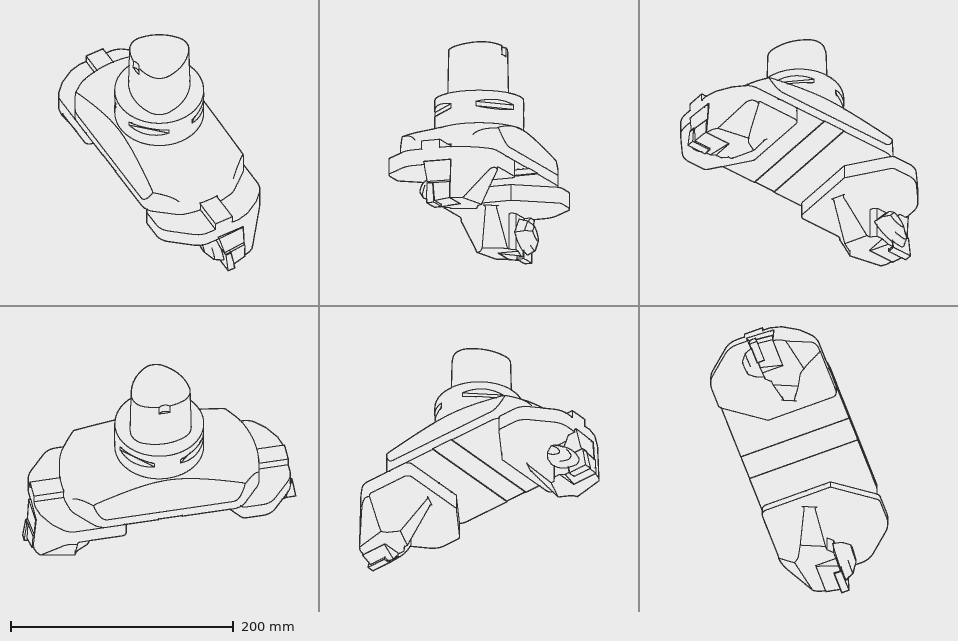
import cadquery as cq
import math


half_depth = 52.0
beyond = 150

far_corner = (beyond, beyond, 0)
far_below = (0, beyond, -beyond)
far_inside = (-beyond, 0, -beyond)

flange_radius = 40
flange_bottom = 40
flange_top = 70
shank_top = 117.8
dome_radius = 89.8
dome_edge_radius = 14.0
dome_slope = 18
corner_start = 65
corner_slope = 1.2
corner_radius = 16.0
side_wall_height = 9.8
side_top_half_depth = 41.5

lobe_radius = 28.5
flank_radius = 24.2
blend_radius = 26.8
blend_angle = 21
shank_flare = 1.0
key_radius = 7.0
key_floor = -22.0
key_depth = 8.2

groove_z = 57.8
groove_floor_distance = 35.5
groove_floor_height = 4.0
groove_mouth_height = 8.8

tongue_width = 17.5
tongue_height = 7.5
guide_slot_height = 9.2
relief_width = 22.0
relief_depth = 0.8

plate_thickness = 14.5
plate_inner = 39.5
plate_end = 116.5
inner_corner_radius = 5

block_bottom = -48.0
recess_y = 5.0
recess_end = 83.2
web_wall_x = 85
web_start_y = -13.5
web_corner_y = 33.8
web_radius = 10.8
under_plate_radius = 2.0

nose_top = -12.0
nose_front = -7.5
nose_back = 19.8
nose_inner = 90
ledge_top = -31.5
insert_top = -33.2
insert_bottom = -52.2
insert_back_top = 4.2
insert_back_bottom = 6.5
insert_inner_bottom = 105.8
insert_inner_top = 103.0
insert_outer_bottom = 125
insert_outer_top = 122.2
nose_bottom = -51.0
nose_back_bottom = -48.2
nose_levels = [
    (nose_top, 118.5, 117.2),
    (ledge_top, 121.0, 118.5),
    (insert_top, 122.2, 119.5),
    (nose_bottom, 124.2, 120.5),
]
seat_y_top = -6.0
seat_y_middle = -1.2
seat_y_bottom = -0.5
seat_step_y = 0.2
clamp_shoulder = 8.5
clamp_height = 14.5
clamp_base = (0, 9.0, 34.0)
clamp_mid = (1.2, 6.8, 28.8)
clamp_top = (5, 3.5, 15)
clamp_back = (90, -25.2)
clamp_angle = 37


def half_space(a, b, c, inside):
    """A large block bounded by the plane through points a, b and c, on the side of the point inside."""
    a, b, c = cq.Vector(*a), cq.Vector(*b), cq.Vector(*c)
    normal = (b - a).cross(c - a)
    if normal.dot(cq.Vector(*inside) - a) < 0:
        normal = normal * -1
    plane = cq.Plane(origin=a, normal=normal)
    return cq.Workplane(plane).rect(4 * beyond, 4 * beyond).extrude(2 * beyond)


def half_turn(body):
    return body.rotate((0, 0, 0), (0, 0, 1), 180)


def prism(points, bottom, top):
    return cq.Workplane("XY").workplane(offset=bottom).polyline(points).close().extrude(top - bottom)


def polar(radius, angle):
    return radius * math.cos(math.radians(angle)), radius * math.sin(math.radians(angle))


def lobed_outline(workplane, growth):
    """Three-lobed polygon with a lobe pointing along +Y."""
    outline = workplane.moveTo(*polar(blend_radius + growth, 90 - blend_angle))
    for lobe in (90, 210, 330):
        outline = outline.threePointArc(
            polar(lobe_radius + growth, lobe),
            polar(blend_radius + growth, lobe + blend_angle),
        ).threePointArc(
            polar(flank_radius + growth, lobe + 60),
            polar(blend_radius + growth, lobe + 120 - blend_angle),
        )
    return outline.close()


def make_shank():
    base = lobed_outline(cq.Workplane("XY").workplane(offset=flange_top), shank_flare)
    shank = lobed_outline(base.workplane(offset=shank_top - flange_top), 0).loft(ruled=True)
    notch = (
        cq.Workplane("XY").workplane(offset=shank_top - key_depth)
        .center(0, key_floor - key_radius).circle(key_radius).extrude(2 * key_depth)
    )
    return shank.cut(notch)


def make_flange():
    flange = (
        cq.Workplane("XY").workplane(offset=flange_bottom)
        .circle(flange_radius).extrude(flange_top - flange_bottom)
    )
    mouth = groove_mouth_height / 2
    floor = groove_floor_height / 2
    groove = (
        cq.Workplane("XZ")
        .polyline([
            (groove_floor_distance, groove_z - floor),
            (flange_radius, groove_z - mouth),
            (2 * flange_radius, groove_z - mouth),
            (2 * flange_radius, groove_z + mouth),
            (flange_radius, groove_z + mouth),
            (groove_floor_distance, groove_z + floor),
        ])
        .close().extrude(flange_radius, both=True)
    )
    for angle in (45, 135, 225, 315):
        flange = flange.cut(groove.rotate((0, 0, 0), (0, 0, 1), angle))
    return flange


def corner_flat_end():
    """X and Y of the point where the corner flat, a straight line in plan, meets the dome circle."""
    flat_x = corner_start + half_depth / corner_slope
    along = 1 + corner_slope**2
    middle = corner_slope**2 * flat_x
    x = (middle + math.sqrt(middle**2 - along * (middle * flat_x - dome_radius**2))) / along
    return x, corner_slope * (flat_x - x)


def make_dome():
    slope = math.radians(dome_slope)
    arc_start_x = dome_radius - dome_edge_radius * (1 - math.sin(slope))
    arc_start_z = flange_bottom - (arc_start_x - flange_radius) * math.tan(slope)
    arc_end_z = arc_start_z - dome_edge_radius * math.cos(slope)
    dome = (
        cq.Workplane("XZ").moveTo(0, 0).lineTo(dome_radius, 0).lineTo(dome_radius, arc_end_z)
        .tangentArcPoint((arc_start_x, arc_start_z), relative=False)
        .lineTo(flange_radius, flange_bottom).lineTo(0, flange_bottom).close()
        .revolve(360, (0, 0, 0), (0, 1, 0))
    )
    end_x, end_y = corner_flat_end()
    plan = (
        cq.Workplane("XY").moveTo(corner_start, -half_depth).lineTo(end_x, -end_y)
        .threePointArc((dome_radius, 0), (end_x, end_y))
        .lineTo(corner_start, half_depth).lineTo(-corner_start, half_depth).lineTo(-end_x, end_y)
        .threePointArc((-dome_radius, 0), (-end_x, -end_y))
        .lineTo(-corner_start, -half_depth).close()
        .extrude(flange_bottom)
        .edges("|Z").fillet(corner_radius)
    )
    cross_section = (
        cq.Workplane("YZ")
        .polyline([
            (-half_depth, 0), (half_depth, 0), (half_depth, side_wall_height),
            (side_top_half_depth, flange_bottom), (-side_top_half_depth, flange_bottom),
            (-half_depth, side_wall_height),
        ])
        .close().extrude(beyond, both=True)
    )
    return dome.intersect(plan).intersect(cross_section)


def make_housing():
    guide_slot = (
        cq.Workplane("XY").box(beyond, tongue_width, 2 * guide_slot_height, centered=(False, True, True))
        .translate((plate_inner, 0, 0))
    )
    relief = cq.Workplane("XY").box(relief_width, 2 * beyond, 2 * relief_depth)
    body = make_dome().union(make_flange()).union(make_shank())
    return body.cut(guide_slot).cut(half_turn(guide_slot)).cut(relief)


def make_slide_stock():
    """Slide plan carried down to the block bottom, with the flared corner at +X, +Y."""
    inner_flat_x = 66.5
    inner_flat_y = -15
    front_corner = 92.0
    back_corner = 93.2
    end_y = 23.5
    end_radius = 20
    flare_x = 122.5
    stock = (
        prism([
            (plate_inner, half_depth), (plate_inner, inner_flat_y), (inner_flat_x, -half_depth),
            (front_corner, -half_depth), (plate_end, -end_y), (plate_end, nose_back),
            (flare_x, nose_back), (flare_x, half_depth + back_corner - flare_x),
            (back_corner, half_depth),
        ], block_bottom, 0)
    )
    rounded_corners = [
        (front_corner, -half_depth, corner_radius),
        (back_corner, half_depth, corner_radius),
        (plate_end, -end_y, end_radius),
        (plate_inner, half_depth, inner_corner_radius),
        (inner_flat_x, -half_depth, inner_corner_radius),
    ]
    for x, y, radius in rounded_corners:
        corner = cq.selectors.NearestToPointSelector((x, y, block_bottom / 2))
        stock = stock.edges("|Z").edges(corner).fillet(radius)
    end_edge = (plate_end, 15.5, 0)
    corner_edge_top = (113.8, 26.0, 0)
    corner_edge_bottom = (117.8, 26.0, -47.5)
    end_flare = half_space(end_edge, corner_edge_top, corner_edge_bottom, far_corner)
    corner_flare = half_space(corner_edge_top, corner_edge_bottom, (105.5, 39.8, 0), far_corner)
    return stock.cut(end_flare).cut(corner_flare)


def make_block_cuts():
    """Everything removed below the plate to leave the web and the seat."""
    top = -plate_thickness
    bottom = -beyond
    recess = (
        prism([
            (0, -beyond), (0, recess_y), (recess_end, recess_y),
            (recess_end + beyond, recess_y - beyond), (recess_end + beyond, -beyond),
        ], bottom, top)
        .faces(">Z").edges(">Y").fillet(under_plate_radius)
    )
    web_side = (
        prism([(0, web_start_y), (web_wall_x, web_corner_y), (web_wall_x, beyond), (0, beyond)], bottom, top)
        .edges("|Z").edges(cq.selectors.NearestToPointSelector((web_wall_x, web_corner_y, -beyond / 2)))
        .fillet(web_radius)
        .faces(">Z").edges("not (<X or >Y)").fillet(under_plate_radius)
    )
    below_plate = cq.Workplane("XY").box(4 * beyond, 4 * beyond, beyond, centered=(True, True, False))
    below_plate = below_plate.translate((0, 0, top - beyond))
    inner_slope = half_space((48.5, 13.5, top), (71.0, 26.0, -48.2), (80.2, 5, -48.2), far_inside)
    back_slope = half_space((85, 36.8, -47.2), (86.0, 52.0, -17.2), (114.8, 30.5, -48.0), far_below)
    return [recess, web_side, inner_slope.intersect(below_plate), back_slope]


def make_seat_cut(top):
    """Space in front of the seat: a sloped face beside the insert and a lower step inboard of it."""
    step_top_x = 111.0
    step_bottom_x = 94.0
    profile = [
        (seat_y_top, nose_top), (seat_y_middle, insert_top), (seat_y_bottom, insert_bottom),
        (seat_y_bottom, -beyond), (-beyond, -beyond), (-beyond, nose_top),
    ]
    cut = cq.Workplane("YZ").workplane(offset=recess_end).polyline(profile).close().extrude(beyond)
    step = (
        cq.Workplane("XZ").workplane(offset=-seat_step_y)
        .polyline([
            (recess_end, nose_top), (step_top_x, nose_top), (step_bottom_x, insert_top),
            (insert_inner_top, insert_top), (insert_inner_bottom, insert_bottom), (recess_end, insert_bottom),
        ])
        .close().extrude(beyond)
    )
    above = cq.Workplane("XY").workplane(offset=top).rect(4 * beyond, 4 * beyond).extrude(beyond)
    return cut.union(step).cut(above)


def nose_outline(workplane, front_x, back_x):
    return workplane.polyline([
        (nose_inner, nose_front), (front_x, nose_front), (back_x, nose_back), (nose_inner, nose_back),
    ]).close()


def nose_segment(upper, lower):
    """Part of the nose between two levels; its end wall leans out downwards and towards the seat."""
    top, top_front_x, top_back_x = upper
    bottom, bottom_front_x, bottom_back_x = lower
    outline = nose_outline(cq.Workplane("XY").workplane(offset=top), top_front_x, top_back_x)
    outline = nose_outline(outline.workplane(offset=bottom - top), bottom_front_x, bottom_back_x)
    return outline.loft(ruled=True)


def make_nose():
    nose = nose_segment(nose_levels[0], nose_levels[1])
    for upper, lower in zip(nose_levels[1:], nose_levels[2:]):
        nose = nose.union(nose_segment(upper, lower))
    chamfer_start_x = 94.5
    chamfer_end_x = 100.5
    lowest = (0, 0, nose_bottom)
    bottom_relief = half_space(lowest, (2.5, 0, nose_bottom), (0, nose_back, nose_back_bottom), far_below)
    inner_chamfer = half_space(
        (chamfer_start_x, 0, nose_back_bottom), (chamfer_start_x, 2.5, nose_back_bottom),
        (chamfer_end_x, 0, nose_bottom), far_below,
    )
    return nose.cut(bottom_relief).cut(inner_chamfer)


def make_insert():
    outline = (
        cq.Workplane("XZ").workplane(offset=-insert_back_bottom)
        .polyline([
            (insert_inner_bottom, insert_bottom), (insert_outer_bottom, insert_bottom),
            (insert_outer_top, insert_top), (insert_inner_top, insert_top),
        ])
        .close().extrude(insert_back_bottom - seat_y_top)
    )
    back_relief = half_space(
        (0, insert_back_top, insert_top), (2.5, insert_back_top, insert_top),
        (0, insert_back_bottom, insert_bottom), (0, beyond, insert_top),
    )
    return outline.cut(back_relief).cut(make_seat_cut(nose_top))


def make_slide(insert):
    slide = make_slide_stock()
    for cut in make_block_cuts():
        slide = slide.cut(cut)
    slide = slide.cut(make_seat_cut(-plate_thickness))
    slide = slide.union(make_nose().cut(make_seat_cut(nose_top)))
    tongue = (
        cq.Workplane("XY")
        .box(plate_end - plate_inner, tongue_width, tongue_height, centered=(False, True, False))
        .translate((plate_inner, 0, 0))
    )
    return slide.union(tongue).cut(insert)


def clamp_outline(workplane, back, half_width, length):
    """Bullet outline with its axis along local X and a flat back end."""
    tip = back + length
    widest = (back + 0.4 * length, 1.1 * half_width)
    tip_start = (tip - 0.07 * length, 0.43 * half_width)
    return (
        workplane.moveTo(back, -half_width)
        .threePointArc((widest[0], -widest[1]), (tip_start[0], -tip_start[1]))
        .threePointArc((tip, 0), tip_start)
        .threePointArc(widest, (back, half_width))
        .close()
    )


def clamp_layer(plane, bottom_outline, bottom, top_outline, top):
    """Tapered layer of the clamp between two bullet outlines at heights bottom and top."""
    lower = clamp_outline(cq.Workplane(plane).workplane(offset=bottom), *bottom_outline)
    return clamp_outline(lower.workplane(offset=top - bottom), *top_outline).loft(ruled=True)


def make_clamp(slide, insert):
    angle = math.radians(clamp_angle)
    plane = cq.Plane(
        origin=(clamp_back[0], 0, clamp_back[1]),
        xDir=(math.cos(angle), 0, -math.sin(angle)),
        normal=(0, -1, 0),
    )
    lower = clamp_layer(plane, clamp_base, 0, clamp_mid, clamp_shoulder)
    upper = clamp_layer(plane, clamp_mid, clamp_shoulder, clamp_top, clamp_height)
    return lower.union(upper).cut(slide).cut(insert)


housing = make_housing()
insert = make_insert()
slide = make_slide(insert)
clamp = make_clamp(slide, insert)

bodies = [housing.val()]
for body in (slide, insert, clamp):
    bodies.append(body.val())
    bodies.append(half_turn(body).val())

result = cq.Compound.makeCompound(bodies)